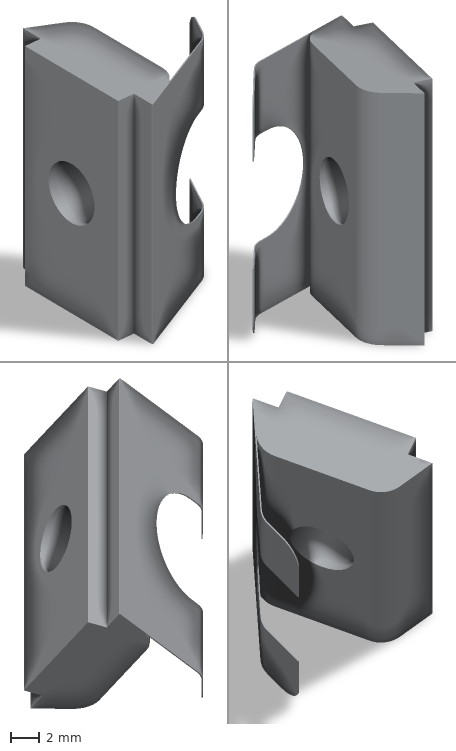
import cadquery as cq
import math

length = 20.0
depth = 12.3

shoulder_width = 13.8
foot_width = 10.0
foot_height = 1.5
block_depth = 5.35
block_round = 2.1
hole_diameter = 4.92

strip_thickness = 0.1
bend_depth = 10.4
inner_bend_radius = 1.9
tip_round = 1.8
notch_width = 8.52
notch_floor = 5.42

lean = math.atan(0.5)
lean_sin = math.sin(lean)
lean_cos = math.cos(lean)

shoulder_x = shoulder_width / 2
foot_x = foot_width / 2


def flank_x(y):
    """X of the right flank plane at height y."""
    return shoulder_x - (y - foot_height) * math.tan(lean)


def make_block():
    top_x = flank_x(block_depth)
    outline = [
        (-foot_x, 0),
        (foot_x, 0),
        (foot_x, foot_height),
        (shoulder_x, foot_height),
        (top_x, block_depth),
        (-top_x, block_depth),
        (-shoulder_x, foot_height),
        (-foot_x, foot_height),
    ]
    block = cq.Workplane("XY").polyline(outline).close().extrude(length)
    block = block.edges("|Z and >Y").fillet(block_round)
    hole = (
        cq.Workplane("XZ")
        .center(0, length / 2)
        .circle(hole_diameter / 2)
        .extrude(-block_depth)
    )
    return block.cut(hole)


def make_strip_profile():
    """Bent band of constant thickness, built from the inner face outwards."""
    bend_x = flank_x(bend_depth)
    tip_y = depth - strip_thickness * lean_cos
    tip_x = bend_x - (tip_y - bend_depth) / math.tan(lean)

    flank_normal = (strip_thickness * lean_cos, strip_thickness * lean_sin)
    tip_normal = (strip_thickness * lean_sin, strip_thickness * lean_cos)

    bend_angle = math.pi / 2 - 2 * lean
    tangent = inner_bend_radius * math.tan(bend_angle / 2)
    bend_start = (bend_x + tangent * lean_sin, bend_depth - tangent * lean_cos)
    bend_end = (bend_x - tangent * lean_cos, bend_depth + tangent * lean_sin)
    center_x = bend_start[0] - inner_bend_radius * lean_cos
    center_y = bend_start[1] - inner_bend_radius * lean_sin

    def bend_middle(radius):
        offset = radius * math.sqrt(0.5)
        return (center_x + offset, center_y + offset)

    def shifted(point, normal):
        return (point[0] + normal[0], point[1] + normal[1])

    heel = (shoulder_x, foot_height)
    tip = (tip_x, tip_y)
    return (
        cq.Workplane("XY")
        .moveTo(*heel)
        .lineTo(*bend_start)
        .threePointArc(bend_middle(inner_bend_radius), bend_end)
        .lineTo(*tip)
        .lineTo(*shifted(tip, tip_normal))
        .lineTo(*shifted(bend_end, tip_normal))
        .threePointArc(bend_middle(inner_bend_radius + strip_thickness), shifted(bend_start, flank_normal))
        .lineTo(*shifted(heel, flank_normal))
        .close()
    )


def make_notch():
    """Round-ended slot cut square to the sloping leg and open towards the tip."""
    flank = cq.Plane(
        origin=(flank_x(notch_floor), notch_floor, length / 2),
        xDir=(-lean_sin, lean_cos, 0),
        normal=(lean_cos, lean_sin, 0),
    )
    radius = notch_width / 2
    reach = depth
    return (
        cq.Workplane(flank)
        .moveTo(radius, -radius)
        .lineTo(reach, -radius)
        .lineTo(reach, radius)
        .lineTo(radius, radius)
        .threePointArc((0, 0), (radius, -radius))
        .close()
        .extrude(depth, both=True)
    )


def make_strip():
    strip = make_strip_profile().extrude(length)
    tip_edges = strip.faces("<X").edges("<Z or >Z")
    return tip_edges.fillet(tip_round).cut(make_notch())


result = make_block().union(make_strip())